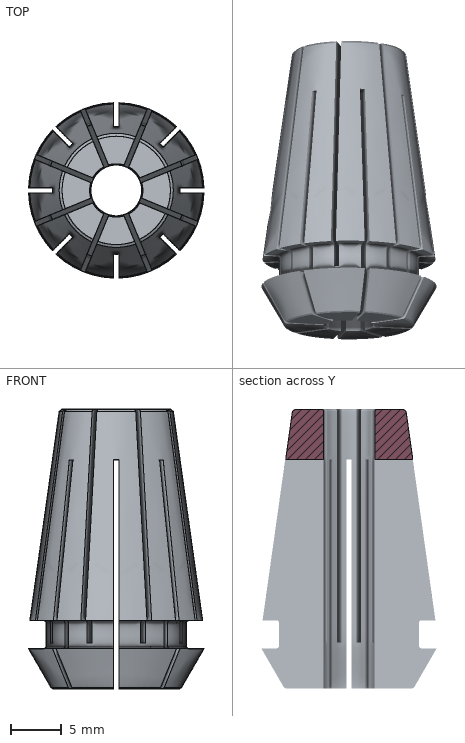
import cadquery as cq
import math

total_height = 27.5
bore_diameter = 5.0
bore_chamfer_width = 0.12
bore_chamfer_depth = 0.2

nose_radius = 8.625
nose_height = 3.95
nose_angle = 30.0
nose_chamfer = 0.12

groove_radius = 6.9
groove_height = 2.75
groove_fillet = 0.22

cone_base_radius = 8.5
cone_angle = 8.0
top_chamfer = 0.25

slot_count = 8
slot_width = 0.5
lower_slot_top = 22.5
upper_slot_bottom = 4.5

cone_base_z = nose_height + groove_height
cone_height = total_height - cone_base_z
nose_bottom_radius = nose_radius - nose_height * math.tan(math.radians(nose_angle))
cone_top_radius = cone_base_radius - cone_height * math.tan(math.radians(cone_angle))
slot_pitch = 360.0 / slot_count


def collet_body():
    """Revolved outline of the collet with its bore, before slotting."""
    bore_radius = bore_diameter / 2
    body = (
        cq.Workplane("XZ")
        .moveTo(bore_radius, 0)
        .lineTo(nose_bottom_radius, 0)
        .lineTo(nose_radius, nose_height)
        .lineTo(groove_radius, nose_height)
        .lineTo(groove_radius, cone_base_z)
        .lineTo(cone_base_radius, cone_base_z)
        .lineTo(cone_top_radius, total_height)
        .lineTo(bore_radius + bore_chamfer_width, total_height)
        .lineTo(bore_radius, total_height - bore_chamfer_depth)
        .close()
        .revolve(360, (0, 0, 0), (0, 1, 0))
    )
    groove_corners = cq.selectors.RadiusNthSelector(-3)
    body = body.edges("%CIRCLE").edges(groove_corners).fillet(groove_fillet)
    outer_edge = cq.selectors.RadiusNthSelector(-1)
    body = body.faces("<Z").edges(outer_edge).chamfer(nose_chamfer)
    return body.faces(">Z").edges(outer_edge).chamfer(top_chamfer)


def radial_slots(bottom_z, top_z, first_angle):
    """Evenly spaced slot blades, each reaching from the axis past the outer surface."""
    blade = cq.Workplane("XY").box(
        2 * nose_radius, slot_width, top_z - bottom_z, centered=(False, True, False)
    )
    blades = cq.Workplane("XY")
    for index in range(slot_count):
        angle = first_angle + index * slot_pitch
        turned_blade = blade.rotate((0, 0, 0), (0, 0, 1), angle)
        blades = blades.add(turned_blade.translate((0, 0, bottom_z)))
    return blades.combine()


lower_slots = radial_slots(0, lower_slot_top, 0)
upper_slots = radial_slots(upper_slot_bottom, total_height, slot_pitch / 2)

result = collet_body().cut(lower_slots).cut(upper_slots)